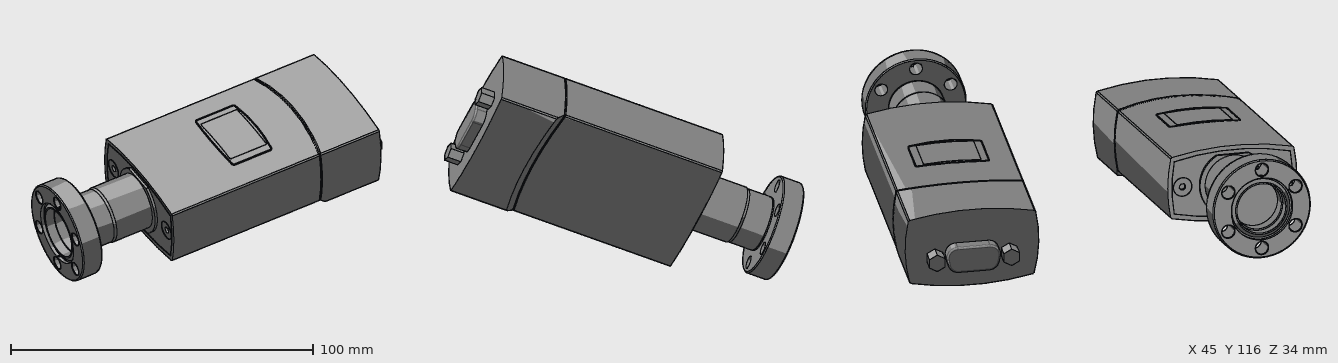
import math

import cadquery as cq

TOTAL_LENGTH = 116.0

FLANGE_DIAMETER = 34.0
FLANGE_THICKNESS = 7.5
FLANGE_CHAMFER = 0.4
BOLT_CIRCLE_DIAMETER = 27.0
BOLT_HOLE_DIAMETER = 4.3
BOLT_HOLE_COUNT = 6
BOLT_HOLE_CHAMFER = 0.2
BOLT_HOLE_CHAMFER_ANGLE = 45.0
FIRST_BOLT_ANGLE = 90.0
SEAL_RECESS_DIAMETER = 21.4
SEAL_RECESS_DEPTH = 1.2
SEAL_LAND_WIDTH = 0.6
KNIFE_EDGE_DIAMETER = 18.0
KNIFE_EDGE_HEIGHT = 0.6
LEAK_SLOT_WIDTH = 0.6

TUBE_DIAMETER = 19.4
NECK_DIAMETER = 18.8
NECK_END = 16.4
NECK_TAPER_LENGTH = 0.9
WELD_GROOVE_WIDTH = 0.5
WELD_GROOVE_DEPTH = 0.2
BORE_ENTRY_DIAMETER = 17.0
BORE_ENTRY_DEPTH = 3.8
BORE_DIAMETER = 16.0
BORE_DEPTH = 8.0

COLLAR_DIAMETER = 22.9
COLLAR_HEIGHT = 20.0
COLLAR_THICKNESS = 0.7

HOUSING_FRONT = 31.6
HOUSING_REAR = 111.3
HOUSING_WIDTH = 45.0
HOUSING_TOP = 12.9
FRONT_BOTTOM = -HOUSING_TOP
REAR_SHELL_BOTTOM = -15.1
SIDE_BOW_RADIUS = 50.0
CROWN_RADIUS = 93.0
CORNER_CHAMFER = 0.4

SEAM_Y = 88.8
SEAM_FLAT_HALF_HEIGHT = 10.4
SEAM_WIDTH = 0.5
SEAM_DEPTH = 0.3

COVER_MARGIN = 1.5
COVER_RECESS_DEPTH = 0.2
SCREW_OFFSET = 17.2
SCREW_HEAD_DIAMETER = 6.4
SCREW_SOCKET_DIAMETER = 2.16
SCREW_SOCKET_DEPTH = 1.0
SCREW_HEAD_RECESS = 0.2

DISPLAY_Y = 67.9
DISPLAY_WIDTH = 25.0
DISPLAY_SIDE_LENGTH = 15.2
DISPLAY_BULGE = 0.8
DISPLAY_CORNER_RADIUS = 1.0
DISPLAY_GAP = 0.3
SCREEN_WIDTH = 19.4
SCREEN_LENGTH = 14.0
SCREEN_CORNER_RADIUS = 0.4
DISPLAY_GAP_DEPTH = 0.3
SCREEN_RECESS_DEPTH = 0.1

CONNECTOR_Z = -3.7
CONNECTOR_WIDTH = 19.4
CONNECTOR_HEIGHT = 9.3
CONNECTOR_CORNER_RADIUS = 3.6
CONNECTOR_SIDE_ANGLE = 10.0
CONNECTOR_EDGE_FILLET = 0.6
CONNECTOR_END = 115.2
STANDOFF_SPACING = 25.0
STANDOFF_ACROSS_CORNERS = 6.1
STANDOFF_SIDES = 6
CORNER_UP_ANGLE = 180 / STANDOFF_SIDES


def xz_plane(y):
    """Sketch plane at the given Y, with sketch axes -X and Z; extruding goes toward +Y."""
    return cq.Workplane(cq.Plane(origin=(0, y, 0), xDir=(-1, 0, 0), normal=(0, 1, 0)))


def cylinder(diameter, start, end, x=0.0, z=0.0):
    """Cylinder parallel to Y."""
    return xz_plane(start).center(-x, z).circle(diameter / 2).extrude(end - start)


def arc_sag(radius, distance):
    """Drop of an arc at a distance from its crest."""
    return radius - math.sqrt(radius**2 - distance**2)


def sharp_prism(bottom, start, end, inset):
    """Prism with bowed sides and crowned top and bottom, shrunk on all sides by inset."""
    half_width = HOUSING_WIDTH / 2 - inset
    top = HOUSING_TOP - inset
    low = bottom + inset

    def side_x(z):
        return half_width - arc_sag(SIDE_BOW_RADIUS, z)

    crown_drop = arc_sag(CROWN_RADIUS, HOUSING_WIDTH / 2 - arc_sag(SIDE_BOW_RADIUS, HOUSING_TOP))
    top_corner_z = top - crown_drop
    low_corner_z = low + crown_drop
    top_x = side_x(top_corner_z)
    low_x = side_x(low_corner_z)
    return (
        xz_plane(start)
        .moveTo(-top_x, top_corner_z)
        .threePointArc((0, top), (top_x, top_corner_z))
        .threePointArc((half_width, 0), (low_x, low_corner_z))
        .threePointArc((0, low), (-low_x, low_corner_z))
        .threePointArc((-half_width, 0), (-top_x, top_corner_z))
        .close()
        .extrude(end - start)
    )


def housing_prism(bottom, start, end, inset=0.0):
    """Sharp prism with its four long corners chamfered."""
    return sharp_prism(bottom, start, end, inset).edges("|Y").chamfer(CORNER_CHAMFER)


def behind_seam(offset):
    """Everything behind the seam surface, which leans back at 45 degrees above and below."""
    reach = HOUSING_WIDTH
    flat_y = SEAM_Y + offset
    lean = reach - SEAM_FLAT_HALF_HEIGHT
    profile = [
        (flat_y + lean, reach),
        (flat_y, SEAM_FLAT_HALF_HEIGHT),
        (flat_y, -SEAM_FLAT_HALF_HEIGHT),
        (flat_y + lean, -reach),
        (TOTAL_LENGTH + reach, -reach),
        (TOTAL_LENGTH + reach, reach),
    ]
    return cq.Workplane("YZ").polyline(profile).close().extrude(HOUSING_WIDTH, both=True)


def housing():
    front = housing_prism(FRONT_BOTTOM, HOUSING_FRONT, HOUSING_REAR)
    rear = housing_prism(REAR_SHELL_BOTTOM, HOUSING_FRONT, HOUSING_REAR)
    core = housing_prism(FRONT_BOTTOM, HOUSING_FRONT, HOUSING_REAR, inset=SEAM_DEPTH)
    seam_band = behind_seam(-SEAM_WIDTH).cut(behind_seam(0))
    seam_groove = seam_band.cut(core)
    return front.cut(seam_groove).union(rear.intersect(behind_seam(0)))


def collar():
    start = HOUSING_FRONT - COLLAR_THICKNESS
    end = HOUSING_FRONT + COVER_RECESS_DEPTH
    middle = (start + end) / 2
    flats = cq.Workplane("XY").box(COLLAR_DIAMETER, end - start, COLLAR_HEIGHT).translate((0, middle, 0))
    return cylinder(COLLAR_DIAMETER, start, end).intersect(flats)


def front_cover_cut():
    """Shallow cover recess, with a sunk screw head and its socket on each side."""
    cover_face = HOUSING_FRONT + COVER_RECESS_DEPTH
    head_face = cover_face + SCREW_HEAD_RECESS
    cut = sharp_prism(FRONT_BOTTOM, HOUSING_FRONT, cover_face, COVER_MARGIN)
    for x in (-SCREW_OFFSET, SCREW_OFFSET):
        head = cylinder(SCREW_HEAD_DIAMETER, HOUSING_FRONT, head_face, x)
        socket = cylinder(SCREW_SOCKET_DIAMETER, HOUSING_FRONT, head_face + SCREW_SOCKET_DEPTH, x)
        cut = cut.union(head).union(socket)
    return cut


def display_block(inset):
    """Upright block with bulging front and rear edges, shrunk on all sides by inset."""
    half_width = DISPLAY_WIDTH / 2 - inset
    half_side = DISPLAY_SIDE_LENGTH / 2 - inset
    half_middle = half_side + DISPLAY_BULGE
    return (
        cq.Workplane("XY")
        .moveTo(-half_width, half_side)
        .threePointArc((0, half_middle), (half_width, half_side))
        .lineTo(half_width, -half_side)
        .threePointArc((0, -half_middle), (-half_width, -half_side))
        .close()
        .extrude(HOUSING_TOP)
        .edges("|Z")
        .fillet(DISPLAY_CORNER_RADIUS - inset)
        .translate((0, DISPLAY_Y, 0))
    )


def display_cut():
    """Gap around the display and the shallow screen inside it; both follow the crowned top."""
    frame = display_block(0).cut(display_block(DISPLAY_GAP))
    below_gap = housing_prism(FRONT_BOTTOM, HOUSING_FRONT, HOUSING_REAR, inset=DISPLAY_GAP_DEPTH)
    screen = (
        cq.Workplane("XY")
        .rect(SCREEN_WIDTH, SCREEN_LENGTH)
        .extrude(HOUSING_TOP)
        .edges("|Z")
        .fillet(SCREEN_CORNER_RADIUS)
        .translate((0, DISPLAY_Y, 0))
    )
    below_screen = housing_prism(FRONT_BOTTOM, HOUSING_FRONT, HOUSING_REAR, inset=SCREEN_RECESS_DEPTH)
    return frame.cut(below_gap).union(screen.cut(below_screen))


def tube_and_flange():
    """Turned outline revolved about the Y axis, then bolt holes and leak-check slots."""
    flange_r = FLANGE_DIAMETER / 2
    neck_r = NECK_DIAMETER / 2
    weld_r = neck_r - WELD_GROOVE_DEPTH
    tube_r = TUBE_DIAMETER / 2
    seal_r = SEAL_RECESS_DIAMETER / 2
    knife_r = KNIFE_EDGE_DIAMETER / 2
    entry_r = BORE_ENTRY_DIAMETER / 2
    bore_r = BORE_DIAMETER / 2
    weld_end = FLANGE_THICKNESS + WELD_GROOVE_WIDTH
    outline = [
        (0, BORE_DEPTH),
        (bore_r, BORE_DEPTH),
        (bore_r, BORE_ENTRY_DEPTH),
        (entry_r, BORE_ENTRY_DEPTH),
        (entry_r, SEAL_RECESS_DEPTH - KNIFE_EDGE_HEIGHT),
        (knife_r, SEAL_RECESS_DEPTH - KNIFE_EDGE_HEIGHT),
        (seal_r - SEAL_LAND_WIDTH, SEAL_RECESS_DEPTH),
        (seal_r, SEAL_RECESS_DEPTH),
        (seal_r, 0),
        (flange_r - FLANGE_CHAMFER, 0),
        (flange_r, FLANGE_CHAMFER),
        (flange_r, FLANGE_THICKNESS - FLANGE_CHAMFER),
        (flange_r - FLANGE_CHAMFER, FLANGE_THICKNESS),
        (weld_r, FLANGE_THICKNESS),
        (weld_r, weld_end),
        (neck_r, weld_end),
        (neck_r, NECK_END),
        (tube_r, NECK_END + NECK_TAPER_LENGTH),
        (tube_r, HOUSING_FRONT + COVER_RECESS_DEPTH),
        (0, HOUSING_FRONT + COVER_RECESS_DEPTH),
    ]
    body = cq.Workplane("XY").polyline(outline).close().revolve(360, (0, 0, 0), (0, 1, 0))
    bolt_r = BOLT_CIRCLE_DIAMETER / 2
    for index in range(BOLT_HOLE_COUNT):
        angle = math.radians(FIRST_BOLT_ANGLE + index * 360 / BOLT_HOLE_COUNT)
        x = bolt_r * math.cos(angle)
        z = bolt_r * math.sin(angle)
        hole = cylinder(BOLT_HOLE_DIAMETER, 0, FLANGE_THICKNESS, x, z)
        rim_sketch = xz_plane(0).center(-x, z).circle(BOLT_HOLE_DIAMETER / 2 + BOLT_HOLE_CHAMFER)
        hole_rim = rim_sketch.extrude(BOLT_HOLE_CHAMFER, taper=BOLT_HOLE_CHAMFER_ANGLE)
        body = body.cut(hole).cut(hole_rim)
    leak_slot = xz_plane(0).rect(LEAK_SLOT_WIDTH, BOLT_CIRCLE_DIAMETER).extrude(SEAL_RECESS_DEPTH)
    ring_only = cylinder(SEAL_RECESS_DIAMETER, 0, SEAL_RECESS_DEPTH)
    return body.cut(leak_slot.cut(ring_only))


def connector():
    """Solid D-shaped connector, wider at the top."""
    half_height = CONNECTOR_HEIGHT / 2
    top_half = CONNECTOR_WIDTH / 2
    slope_run = CONNECTOR_HEIGHT * math.tan(math.radians(CONNECTOR_SIDE_ANGLE))
    low_half = top_half - slope_run
    corners = [
        (-top_half, half_height),
        (top_half, half_height),
        (low_half, -half_height),
        (-low_half, -half_height),
    ]
    return (
        xz_plane(HOUSING_REAR)
        .center(0, CONNECTOR_Z)
        .polyline(corners)
        .close()
        .extrude(CONNECTOR_END - HOUSING_REAR)
        .edges("|Y")
        .fillet(CONNECTOR_CORNER_RADIUS)
        .faces(">Y")
        .edges()
        .fillet(CONNECTOR_EDGE_FILLET)
    )


def standoffs():
    """Hexagonal posts with a corner pointing up, one on each side of the connector."""
    hexagon = xz_plane(HOUSING_REAR).polygon(STANDOFF_SIDES, STANDOFF_ACROSS_CORNERS)
    post = hexagon.extrude(TOTAL_LENGTH - HOUSING_REAR).rotate((0, 0, 0), (0, 1, 0), CORNER_UP_ANGLE)
    left = post.translate((-STANDOFF_SPACING / 2, 0, CONNECTOR_Z))
    right = post.translate((STANDOFF_SPACING / 2, 0, CONNECTOR_Z))
    return left.union(right)


result = (
    housing()
    .cut(front_cover_cut())
    .cut(display_cut())
    .union(collar())
    .union(tube_and_flange())
    .union(connector())
    .union(standoffs())
)